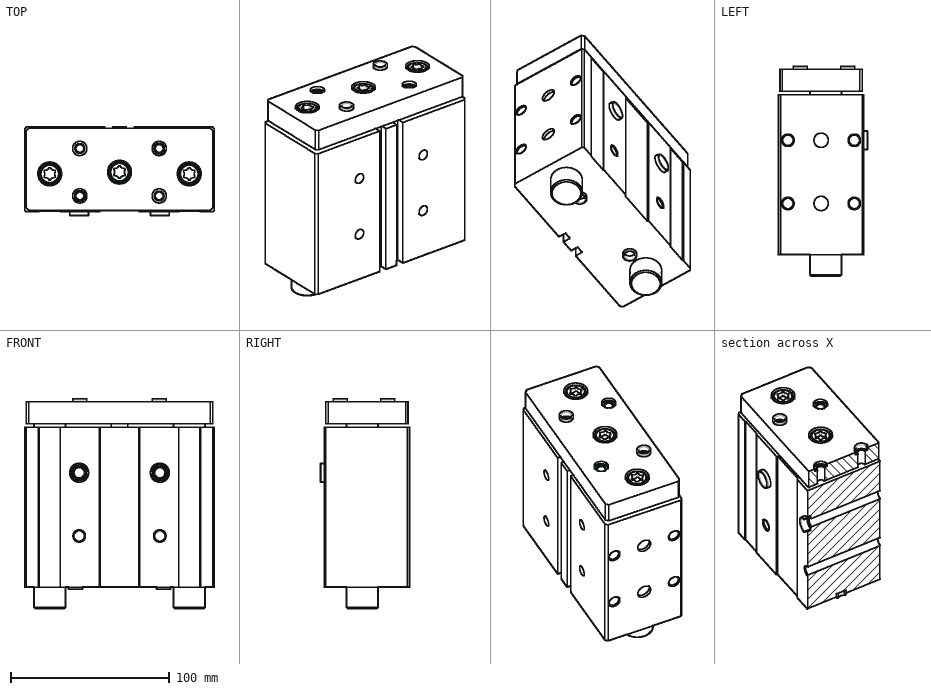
import cadquery as cq
import math


housing_width = 120.0
housing_depth = 53.9
housing_height = 101.0
rear_corner_chamfer = 1.5
front_corner_chamfer = 1.0

middle_recess_half_width = 12.1
middle_recess_depth = 0.8
side_recess_inner_x = 37.3
side_recess_outer_x = 51.3
side_recess_depth = 0.4
recess_slope_width = 0.7

slot_width = 4.9
slot_depth = 5.0
slot_x = 6.8

stroke_gap = 2.1
plate_width = 117.9
plate_depth = 52.0
plate_thickness = 14.0
plate_chamfer = 1.6
guide_diameter = 20.0
guide_x = 44.1
guide_y = -2.9
guide_overhang = 13.7
guide_chamfer = 0.9
piston_rod_diameter = 10.5
piston_rod_y = -1.9
piston_rod_insertion = 79.7

screw_counterbore_diameter = 15.0
screw_counterbore_depth = 8
screw_head_diameter = 13.0
screw_head_sink = 0.4
screw_head_chamfer_width = 0.9
screw_head_chamfer_height = 0.5
star_tip_radius = 4
star_shoulder_radius = 3.7
star_valley_radius = 3.0
star_tip_half_angle = 9
star_lobes = 6
star_depth = 3.3

small_sleeve_diameter = 9.0
small_sleeve_bore = 6.6
small_sleeve_length = 4
large_sleeve_diameter = 12
large_sleeve_bore = 9.8
large_sleeve_length = 4.9
top_protrusion = 2.0
bottom_protrusion = 1.5
front_protrusion = 2.4

plate_hole_x = 25.1
plate_hole_y_offset = 15.0
plate_thread_diameter = 5.0
plate_thread_chamfer = 0.5
bottom_sleeve_x = 27.8

lower_hole_z = 32.3
hole_pitch_z = 40.0
front_hole_x = 25.5
thread_diameter = 6.6
thread_chamfer = 0.6
side_thread_y = 21.0
side_thread_depth = 16
drill_point_angle = 118
side_centring_depth = 2.0

left_face_x = -housing_width / 2
front_face_y = -housing_depth / 2
rear_face_y = housing_depth / 2
plate_bottom_z = housing_height + stroke_gap
plate_top_z = plate_bottom_z + plate_thickness
upper_hole_z = lower_hole_z + hole_pitch_z
hole_heights = [lower_hole_z, upper_hole_z]
front_sleeve_insertion = large_sleeve_length - front_protrusion
bottom_sleeve_insertion = small_sleeve_length - bottom_protrusion
plate_centring_depth = small_sleeve_length - top_protrusion

guide_centres = [(-guide_x, guide_y), (guide_x, guide_y)]
piston_rod_centre = (0, piston_rod_y)
screw_centres = guide_centres + [piston_rod_centre]
plate_hole_centres = [
    (side * plate_hole_x, piston_rod_y + row * plate_hole_y_offset)
    for side in (-1, 1)
    for row in (-1, 1)
]
top_sleeve_centres = [plate_hole_centres[0], plate_hole_centres[-1]]
bottom_sleeve_centres = [(-bottom_sleeve_x, piston_rod_y), (bottom_sleeve_x, piston_rod_y)]

x_axis = cq.Vector(1, 0, 0)
y_axis = cq.Vector(0, 1, 0)
z_axis = cq.Vector(0, 0, 1)


def cylinder(diameter, length, start, direction):
    return cq.Workplane(cq.Solid.makeCylinder(diameter / 2, length, cq.Vector(*start), direction))


def cone(start_diameter, end_diameter, length, start, direction):
    solid = cq.Solid.makeCone(start_diameter / 2, end_diameter / 2, length, cq.Vector(*start), direction)
    return cq.Workplane(solid)


def thread_entry(start, direction, diameter, chamfer):
    """Conical chamfer at the mouth of a threaded hole."""
    return cone(diameter + 2 * chamfer, diameter, chamfer, start, direction)


def housing_blank():
    right_half = [
        (middle_recess_half_width, front_face_y + middle_recess_depth),
        (middle_recess_half_width + recess_slope_width, front_face_y),
        (side_recess_inner_x, front_face_y),
        (side_recess_inner_x, front_face_y + side_recess_depth),
        (side_recess_outer_x - recess_slope_width, front_face_y + side_recess_depth),
        (side_recess_outer_x, front_face_y),
        (housing_width / 2 - front_corner_chamfer, front_face_y),
        (housing_width / 2, front_face_y + front_corner_chamfer),
        (housing_width / 2, rear_face_y - rear_corner_chamfer),
        (housing_width / 2 - rear_corner_chamfer, rear_face_y),
    ]
    left_half = [(-x, y) for x, y in reversed(right_half)]
    return cq.Workplane().polyline(right_half + left_half).close().extrude(housing_height)


def sensor_slots():
    return (
        cq.Workplane()
        .pushPoints([(-slot_x, rear_face_y), (slot_x, rear_face_y)])
        .rect(slot_width, 2 * slot_depth)
        .extrude(housing_height)
    )


def side_thread(y, z):
    """Blind threaded hole in the left face with a chamfered mouth and a drill point."""
    mouth = (left_face_x, y, z)
    bottom = (left_face_x + side_thread_depth, y, z)
    point_length = thread_diameter / 2 / math.tan(math.radians(drill_point_angle / 2))
    hole = cylinder(thread_diameter, side_thread_depth, mouth, x_axis)
    hole = hole.union(cone(thread_diameter, 0, point_length, bottom, x_axis))
    return hole.union(thread_entry(mouth, x_axis, thread_diameter, thread_chamfer))


def make_housing():
    body = housing_blank().cut(sensor_slots())

    for x, y in guide_centres:
        body = body.cut(cylinder(guide_diameter, housing_height, (x, y, 0), z_axis))
    rod_end = (*piston_rod_centre, housing_height - piston_rod_insertion)
    body = body.cut(cylinder(piston_rod_diameter, piston_rod_insertion, rod_end, z_axis))

    for x in (-front_hole_x, front_hole_x):
        for z in hole_heights:
            body = body.cut(cylinder(thread_diameter, housing_depth, (x, front_face_y, z), y_axis))
        lower_mouth = (x, front_face_y, lower_hole_z)
        body = body.cut(thread_entry(lower_mouth, y_axis, thread_diameter, thread_chamfer))
        upper_mouth = (x, front_face_y, upper_hole_z)
        body = body.cut(cylinder(large_sleeve_diameter, front_sleeve_insertion, upper_mouth, y_axis))
        recess_floor = (x, front_face_y + front_sleeve_insertion, upper_hole_z)
        body = body.cut(thread_entry(recess_floor, y_axis, thread_diameter, thread_chamfer))

    for z in hole_heights:
        centring_mouth = (left_face_x, 0, z)
        body = body.cut(cylinder(small_sleeve_diameter, side_centring_depth, centring_mouth, x_axis))
        for y in (-side_thread_y, side_thread_y):
            body = body.cut(side_thread(y, z))

    for x, y in bottom_sleeve_centres:
        body = body.cut(cylinder(small_sleeve_diameter, bottom_sleeve_insertion, (x, y, 0), z_axis))
    return body


def star_outline():
    """Six-lobed screwdriver recess: round lobe tips joined by concave arcs."""

    def point(radius, angle):
        return (radius * math.cos(math.radians(angle)), radius * math.sin(math.radians(angle)))

    lobe_pitch = 360 / star_lobes
    first_angle = 90
    outline = cq.Workplane().moveTo(*point(star_shoulder_radius, first_angle - star_tip_half_angle))
    for lobe in range(star_lobes):
        tip = first_angle + lobe * lobe_pitch
        next_lobe_start = tip + lobe_pitch - star_tip_half_angle
        outline = outline.threePointArc(
            point(star_tip_radius, tip), point(star_shoulder_radius, tip + star_tip_half_angle)
        )
        outline = outline.threePointArc(
            point(star_valley_radius, tip + lobe_pitch / 2), point(star_shoulder_radius, next_lobe_start)
        )
    return outline.close()


def make_screw_head():
    """Screw head standing on the floor of its counterbore, at the origin."""
    head_height = screw_counterbore_depth - screw_head_sink
    shoulder_height = head_height - screw_head_chamfer_height
    top_diameter = screw_head_diameter - 2 * screw_head_chamfer_width
    head = cylinder(screw_head_diameter, shoulder_height, (0, 0, 0), z_axis)
    chamfered_top = cone(
        screw_head_diameter, top_diameter, screw_head_chamfer_height, (0, 0, shoulder_height), z_axis
    )
    socket = star_outline().extrude(star_depth)
    return head.union(chamfered_top).cut(socket.translate((0, 0, head_height - star_depth)))


def make_yoke():
    yoke = (
        cq.Workplane()
        .box(plate_width, plate_depth, plate_thickness, centered=(True, True, False))
        .edges("|Z")
        .chamfer(plate_chamfer)
        .translate((0, 0, plate_bottom_z))
    )

    recess_floor_z = plate_top_z - plate_centring_depth
    for x, y in plate_hole_centres:
        yoke = yoke.cut(cylinder(plate_thread_diameter, plate_thickness, (x, y, plate_bottom_z), z_axis))
        yoke = yoke.cut(cylinder(small_sleeve_diameter, plate_centring_depth, (x, y, recess_floor_z), z_axis))
        floor_centre = (x, y, recess_floor_z)
        yoke = yoke.cut(thread_entry(floor_centre, -z_axis, plate_thread_diameter, plate_thread_chamfer))

    counterbore_floor_z = plate_top_z - screw_counterbore_depth
    screw_head = make_screw_head()
    for x, y in screw_centres:
        floor_centre = (x, y, counterbore_floor_z)
        yoke = yoke.cut(
            cylinder(screw_counterbore_diameter, screw_counterbore_depth, floor_centre, z_axis)
        )
        yoke = yoke.union(screw_head.translate(floor_centre))

    guide_length = guide_overhang + plate_bottom_z
    for x, y in guide_centres:
        guide = cylinder(guide_diameter, guide_length, (x, y, -guide_overhang), z_axis)
        yoke = yoke.union(guide.faces("<Z").chamfer(guide_chamfer))
    rod_end = (*piston_rod_centre, housing_height - piston_rod_insertion)
    rod_length = piston_rod_insertion + stroke_gap
    return yoke.union(cylinder(piston_rod_diameter, rod_length, rod_end, z_axis))


def make_sleeve(diameter, bore, length, inner_end, direction):
    """Centring sleeve from its inner end outwards, with a fully rounded outer rim."""
    outer_radius = diameter / 2
    bore_radius = bore / 2
    rim_radius = (outer_radius - bore_radius) / 2
    shoulder = length - rim_radius
    profile_plane = cq.Plane(origin=inner_end, xDir=x_axis, normal=x_axis.cross(direction))
    return (
        cq.Workplane(profile_plane)
        .moveTo(bore_radius, 0)
        .lineTo(outer_radius, 0)
        .lineTo(outer_radius, shoulder)
        .threePointArc((bore_radius + rim_radius, length), (bore_radius, shoulder))
        .close()
        .revolve(360, (0, 0), (0, 1))
    )


def make_small_sleeve(inner_end, direction):
    return make_sleeve(small_sleeve_diameter, small_sleeve_bore, small_sleeve_length, inner_end, direction)


def make_large_sleeve(inner_end, direction):
    return make_sleeve(large_sleeve_diameter, large_sleeve_bore, large_sleeve_length, inner_end, direction)


housing = make_housing()
yoke = make_yoke()
top_sleeves = [
    make_small_sleeve((x, y, plate_top_z - plate_centring_depth), z_axis) for x, y in top_sleeve_centres
]
bottom_sleeves = [
    make_small_sleeve((x, y, bottom_sleeve_insertion), -z_axis) for x, y in bottom_sleeve_centres
]
front_sleeves = [
    make_large_sleeve((x, front_face_y + front_sleeve_insertion, upper_hole_z), -y_axis)
    for x in (-front_hole_x, front_hole_x)
]

sleeves = top_sleeves + bottom_sleeves + front_sleeves
result = cq.Compound.makeCompound([housing.val(), yoke.val(), *[sleeve.val() for sleeve in sleeves]])